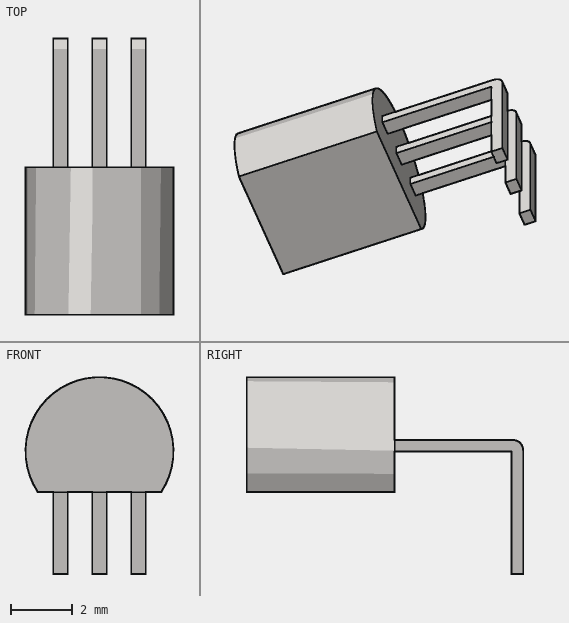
import cadquery as cq
import math

body_radius = 2.41
body_length = 4.81
body_height = 3.74
flat_z = body_radius - body_height
flat_half_width = math.sqrt(body_radius**2 - flat_z**2)

total_length = 8.99
total_height = 6.41
lead_count = 3
lead_pitch = 1.27
lead_width = 0.48
lead_thickness = 0.39
bend_radius = 0.34
lead_underside_z = -0.02
lead_top_z = lead_underside_z + lead_thickness
lead_end_y = total_length
lead_tip_z = body_radius - total_height


def make_body():
    return (
        cq.Workplane("XZ")
        .moveTo(-flat_half_width, flat_z)
        .threePointArc((0, body_radius), (flat_half_width, flat_z))
        .close()
        .extrude(-body_length)
    )


def make_lead(center_x):
    """L-shaped lead with a rounded outer corner and a sharp inner one."""
    bend_center_y = lead_end_y - bend_radius
    bend_center_z = lead_top_z - bend_radius
    inner_y = lead_end_y - lead_thickness
    bend_reach = bend_radius * math.sqrt(0.5)
    return (
        cq.Workplane("YZ", origin=(center_x, 0, 0))
        .moveTo(body_length, lead_underside_z)
        .lineTo(body_length, lead_top_z)
        .lineTo(bend_center_y, lead_top_z)
        .threePointArc(
            (bend_center_y + bend_reach, bend_center_z + bend_reach),
            (lead_end_y, bend_center_z),
        )
        .lineTo(lead_end_y, lead_tip_z)
        .lineTo(inner_y, lead_tip_z)
        .lineTo(inner_y, lead_underside_z)
        .close()
        .extrude(lead_width / 2, both=True)
    )


result = make_body()
for index in range(lead_count):
    offset = index - (lead_count - 1) / 2
    result = result.union(make_lead(offset * lead_pitch))